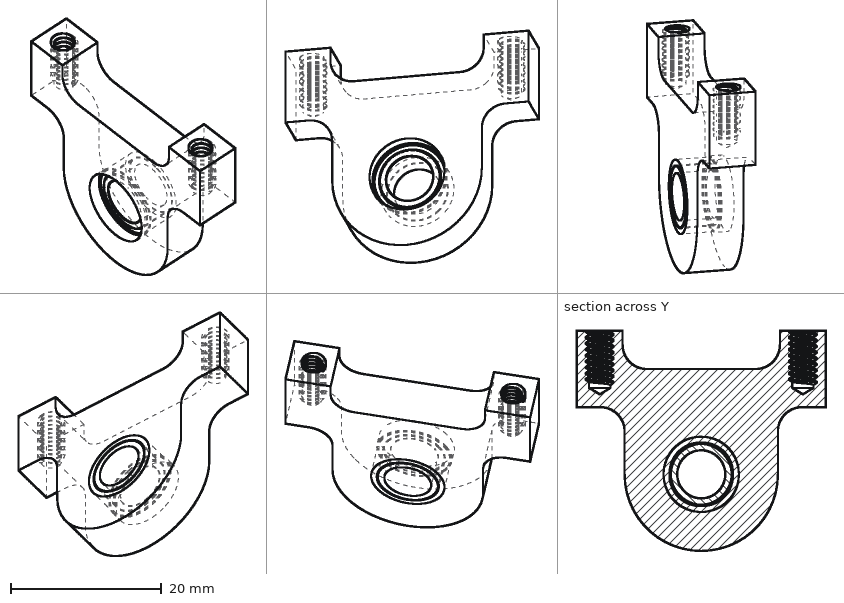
import cadquery as cq
import math

WIDTH = 33.02
THICKNESS = 6.35
EYE_RADIUS = 10.17
EYE_DEPTH = 19.05
EAR_WIDTH = 6.1
EAR_HEIGHT = EYE_RADIUS
SADDLE_DEPTH = EAR_HEIGHT / 2
CORNER_RADIUS = 3.17

ENTRY_RADIUS = EYE_RADIUS / 2
ENTRY_DEPTH = 1.65
SEAT_RADIUS = 4.95

BORE_RADIUS = 3.17
INNER_RACE_RADIUS = 4.05
OUTER_RACE_BORE = 4.2
INNER_RACE_FRONT = 1.6
OUTER_RACE_FRONT = 1.75
SHIELD_FRONT = 1.85
RACE_CHAMFER_WIDTH = 0.15
RACE_CHAMFER_DEPTH = 0.05
BORE_CHAMFER = 0.05

HOLE_SPACING = 26.9
MINOR_RADIUS = 1.4
HOLE_DEPTH = 7.6
POINT_ANGLE = 118.0
SEAM_ANGLE = 120.0
THREAD_PITCH = 0.8
THREAD_LENGTH = 6.87
THREAD_DEPTH = 0.43
GROOVE_MOUTH = 0.7
GROOVE_ROOT = 0.1
GROOVE_LAP = 0.03


def plate_blank():
    half_width = WIDTH / 2
    saddle_half = half_width - EAR_WIDTH
    ear_bottom = EYE_DEPTH - EAR_HEIGHT
    saddle = EYE_DEPTH - SADDLE_DEPTH
    r = CORNER_RADIUS
    return (
        cq.Workplane("XZ")
        .moveTo(-EYE_RADIUS, 0)
        .lineTo(-EYE_RADIUS, ear_bottom - r)
        .radiusArc((-EYE_RADIUS - r, ear_bottom), -r)
        .lineTo(-half_width, ear_bottom)
        .lineTo(-half_width, EYE_DEPTH)
        .lineTo(-saddle_half, EYE_DEPTH)
        .lineTo(-saddle_half, saddle + r)
        .radiusArc((-saddle_half + r, saddle), -r)
        .lineTo(saddle_half - r, saddle)
        .radiusArc((saddle_half, saddle + r), -r)
        .lineTo(saddle_half, EYE_DEPTH)
        .lineTo(half_width, EYE_DEPTH)
        .lineTo(half_width, ear_bottom)
        .lineTo(EYE_RADIUS + r, ear_bottom)
        .radiusArc((EYE_RADIUS, ear_bottom - r), -r)
        .lineTo(EYE_RADIUS, 0)
        .threePointArc((0, -EYE_RADIUS), (-EYE_RADIUS, 0))
        .close()
        .extrude(-THICKNESS)
    )


def bearing_hole():
    entry = cq.Workplane("XZ").circle(ENTRY_RADIUS).extrude(-ENTRY_DEPTH)
    seat = cq.Workplane("XZ").circle(SEAT_RADIUS).extrude(-THICKNESS)
    return entry.union(seat)


def drilled_hole():
    point_depth = MINOR_RADIUS / math.tan(math.radians(POINT_ANGLE / 2))
    return (
        cq.Workplane("XZ")
        .lineTo(MINOR_RADIUS, 0)
        .lineTo(MINOR_RADIUS, -HOLE_DEPTH)
        .lineTo(0, -HOLE_DEPTH - point_depth)
        .close()
        .revolve(360, (0, 0, 0), (0, 1, 0))
        .rotate((0, 0, 0), (0, 0, 1), SEAM_ANGLE)
    )


def thread_groove():
    helix = cq.Wire.makeHelix(THREAD_PITCH, THREAD_LENGTH + THREAD_PITCH, MINOR_RADIUS)
    mouth_radius = MINOR_RADIUS - GROOVE_LAP
    root_radius = MINOR_RADIUS + THREAD_DEPTH
    return (
        cq.Workplane("XZ")
        .moveTo(mouth_radius, -GROOVE_MOUTH / 2)
        .lineTo(root_radius, -GROOVE_ROOT / 2)
        .lineTo(root_radius, GROOVE_ROOT / 2)
        .lineTo(mouth_radius, GROOVE_MOUTH / 2)
        .close()
        .sweep(cq.Workplane(helix), isFrenet=True)
        .translate((0, 0, -THREAD_LENGTH))
    )


def make_plate():
    plate = plate_blank().cut(bearing_hole())
    hole = drilled_hole()
    groove = thread_groove()
    for side in (-1, 1):
        place = (side * HOLE_SPACING / 2, THICKNESS / 2, EYE_DEPTH)
        plate = plate.cut(hole.translate(place))
        plate = plate.cut(groove.translate(place))
    return plate


def ring(outer_radius, inner_radius, front):
    """Ring around the eye axis, from the given depth to the back of the plate."""
    return (
        cq.Workplane("XZ", origin=(0, front, 0))
        .circle(outer_radius)
        .circle(inner_radius)
        .extrude(front - THICKNESS)
    )


def make_inner_race():
    race = ring(INNER_RACE_RADIUS, BORE_RADIUS, INNER_RACE_FRONT)
    bore_edge = cq.selectors.RadiusNthSelector(0)
    return race.faces("<Y").edges(bore_edge).chamfer(BORE_CHAMFER)


def make_outer_race():
    chamfer_back = OUTER_RACE_FRONT + RACE_CHAMFER_DEPTH
    chamfer_radius = SEAT_RADIUS - RACE_CHAMFER_WIDTH
    return (
        cq.Workplane("XY")
        .moveTo(OUTER_RACE_BORE, OUTER_RACE_FRONT)
        .lineTo(chamfer_radius, OUTER_RACE_FRONT)
        .lineTo(SEAT_RADIUS, chamfer_back)
        .lineTo(SEAT_RADIUS, THICKNESS)
        .lineTo(OUTER_RACE_BORE, THICKNESS)
        .close()
        .revolve(360, (0, 0, 0), (0, 1, 0))
    )


def make_shield():
    return ring(OUTER_RACE_BORE, INNER_RACE_RADIUS, SHIELD_FRONT)


plate = make_plate()
inner_race = make_inner_race()
outer_race = make_outer_race()
shield = make_shield()

result = cq.Compound.makeCompound([
    plate.val(),
    inner_race.val(),
    outer_race.val(),
    shield.val(),
])